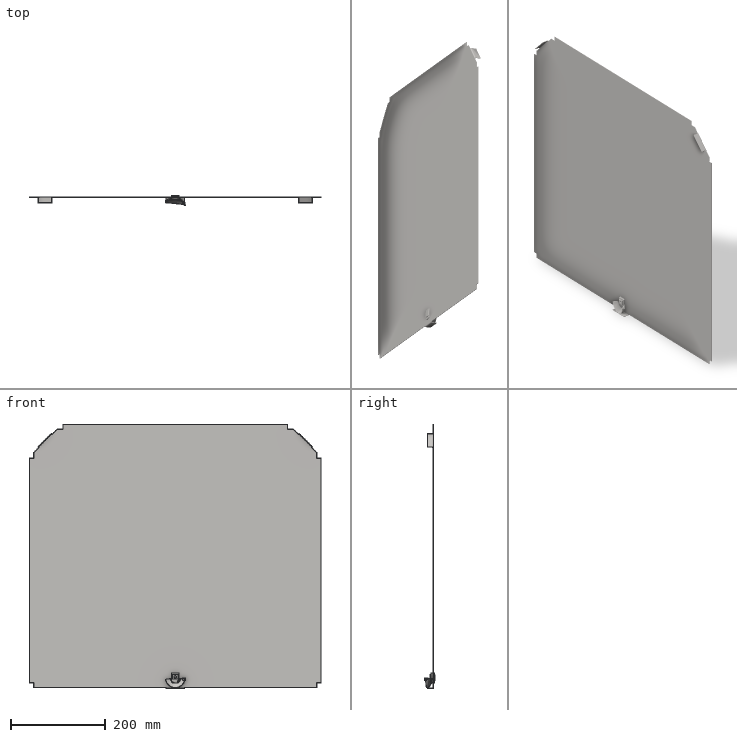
import cadquery as cq
import math

WIDTH = 615.6
HEIGHT = 557.8
THICKNESS = 1.0
BEND_INNER = 1.2
BEND_OUTER = BEND_INNER + THICKNESS
FLANGE_LENGTH = 40.0
FLANGE_DEPTH = 13.0

PANEL_BOTTOM = BEND_OUTER
NOTCH_WIDTH = 9.0
NOTCH_HEIGHT = 10.0
TOP_EDGE_HALF = 237.0
SHOULDER_HALF = 249.0
SIDE_TOP = 486.6

SHOULDER_Z = HEIGHT - NOTCH_HEIGHT
INSET_HALF = WIDTH / 2 - NOTCH_WIDTH
CORNER_CUT = INSET_HALF - SHOULDER_HALF

LATCH_Z = 23.0

BODY_WIDTH = 16.3
BODY_BACK = 1.6
BODY_FRONT = -5.3
BODY_TOP = 10.2
BODY_BOTTOM = -10.6
BODY_FOOT_BEVEL = 2.0

BOSS_WIDTH = 15.4
BOSS_HEIGHT = 11.0
BOSS_BACK = 2.76

PAD_WIDTH = 11.0
PAD_HEIGHT = 9.4
PAD_RISE = 2.0
PAD_FRONT = -7.2
SOCKET_DIAMETER = 5.0
SOCKET_DEPTH = 4.0

WING_INNER_RADIUS = 8.0
WING_STEP_RADIUS = 11.0
WING_OUTER_RADIUS = 20.8
WING_INNER_BACK = -2.5
WING_WEB_FRONT = -4.8
WING_STEP_FRONT = -7.0
WING_OUTER_BACK = -10.0
WING_OUTER_FRONT = -14.4
WING_END_DROP = 9.0
WING_TILT = 6.0

LIP_ROOT_X = 15.0
LIP_ROOT_Y = -11.5
LIP_TIP_X = 21.9
LIP_TIP_Y = -18.6
LIP_THICKNESS = 2.5
LIP_TOP = -0.8
LIP_BOTTOM = -6.0


def sheet_outline():
    half_outline = [
        (INSET_HALF, PANEL_BOTTOM),
        (INSET_HALF, PANEL_BOTTOM + NOTCH_HEIGHT),
        (WIDTH / 2, PANEL_BOTTOM + NOTCH_HEIGHT),
        (WIDTH / 2, SIDE_TOP),
        (INSET_HALF, SIDE_TOP),
        (INSET_HALF, SHOULDER_Z - CORNER_CUT),
        (SHOULDER_HALF, SHOULDER_Z),
        (TOP_EDGE_HALF, SHOULDER_Z),
        (TOP_EDGE_HALF, HEIGHT),
    ]
    mirrored = [(-x, z) for x, z in reversed(half_outline)]
    return half_outline + mirrored


def bent_flange():
    """Flange along X, bent from a sheet edge on the X axis toward -Y, its outer face at z = -BEND_OUTER."""
    mid = math.sqrt(0.5)
    bend_y = -BEND_OUTER
    return (
        cq.Workplane("YZ")
        .moveTo(0, 0)
        .threePointArc((bend_y + BEND_OUTER * mid, -BEND_OUTER * mid), (bend_y, -BEND_OUTER))
        .lineTo(-FLANGE_DEPTH, -BEND_OUTER)
        .lineTo(-FLANGE_DEPTH, -BEND_INNER)
        .lineTo(bend_y, -BEND_INNER)
        .threePointArc((bend_y + BEND_INNER * mid, -BEND_INNER * mid), (-THICKNESS, 0))
        .close()
        .extrude(FLANGE_LENGTH / 2, both=True)
    )


def make_panel():
    sheet = cq.Workplane("XZ").polyline(sheet_outline()).close().extrude(THICKNESS)
    panel = sheet.union(bent_flange().translate((0, 0, PANEL_BOTTOM)))
    corner_x = (INSET_HALF + SHOULDER_HALF) / 2
    corner_z = SHOULDER_Z - CORNER_CUT / 2
    for side in (-1, 1):
        flange = bent_flange().rotate((0, 0, 0), (0, 1, 0), 180 + side * 45)
        panel = panel.union(flange.translate((side * corner_x, 0, corner_z)))
    return panel


def make_latch_body():
    """Block through the panel, with a boss on its back and a pad with a drive hole on its front."""
    height = BODY_TOP - BODY_BOTTOM
    block = (
        cq.Workplane("XY")
        .box(BODY_WIDTH, BODY_BACK - BODY_FRONT, height)
        .edges("|Y and <Z")
        .chamfer(BODY_FOOT_BEVEL)
        .translate((0, (BODY_BACK + BODY_FRONT) / 2, (BODY_TOP + BODY_BOTTOM) / 2))
    )
    boss = (
        cq.Workplane("XZ", origin=(0, BOSS_BACK, 0))
        .rect(BOSS_WIDTH, BOSS_HEIGHT)
        .extrude(BOSS_BACK - BODY_BACK)
    )
    pad = (
        cq.Workplane("XZ", origin=(0, BODY_FRONT, PAD_RISE))
        .rect(PAD_WIDTH, PAD_HEIGHT)
        .extrude(BODY_FRONT - PAD_FRONT)
    )
    socket = (
        cq.Workplane("XZ", origin=(0, PAD_FRONT + SOCKET_DEPTH, PAD_RISE))
        .circle(SOCKET_DIAMETER / 2)
        .extrude(SOCKET_DEPTH)
    )
    return block.union(boss).union(pad).cut(socket).translate((0, 0, LATCH_Z))


def make_finger_lip():
    outline = [
        (LIP_ROOT_X, LIP_ROOT_Y),
        (LIP_ROOT_X + LIP_THICKNESS, LIP_ROOT_Y),
        (LIP_TIP_X, LIP_TIP_Y),
        (LIP_TIP_X - LIP_THICKNESS, LIP_TIP_Y),
    ]
    return (
        cq.Workplane("XY", origin=(0, 0, LIP_BOTTOM))
        .polyline(outline)
        .close()
        .extrude(LIP_TOP - LIP_BOTTOM)
    )


def make_latch_wing(body):
    """Lower sector of a conical dish that opens toward -Y, with a finger lip, seated against the body."""
    section = [
        (WING_INNER_RADIUS, WING_INNER_BACK),
        (WING_OUTER_RADIUS, WING_OUTER_BACK),
        (WING_OUTER_RADIUS, WING_OUTER_FRONT),
        (WING_STEP_RADIUS, WING_STEP_FRONT),
        (WING_STEP_RADIUS, WING_WEB_FRONT),
        (WING_INNER_RADIUS, WING_WEB_FRONT),
    ]
    sweep = 180 - 2 * WING_END_DROP
    rim_y = (WING_OUTER_BACK + WING_OUTER_FRONT) / 2
    dish = (
        cq.Workplane("XY")
        .polyline(section)
        .close()
        .revolve(sweep, (0, 0, 0), (0, 1, 0))
        .rotate((0, 0, 0), (0, 1, 0), WING_END_DROP)
        .rotate((0, rim_y, 0), (0, rim_y, 1), -WING_TILT)
    )
    wing = dish.union(make_finger_lip()).translate((0, 0, LATCH_Z))
    return wing.cut(body)


latch_body = make_latch_body()
latch_wing = make_latch_wing(latch_body)
panel = make_panel().cut(latch_body)

result = cq.Compound.makeCompound(
    [*panel.solids().vals(), *latch_body.solids().vals(), *latch_wing.solids().vals()]
)